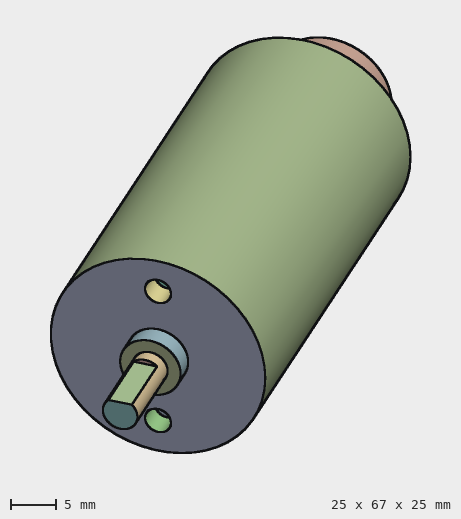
import cadquery as cq

total_length = 67.0
body_diameter = 25.0
body_length = 46.0
rear_boss_diameter = 14.0
rear_boss_length = 9.0
pilot_diameter = 7.05
pilot_length = 2.4
shaft_diameter = 4.0
flat_length = 8.0
flat_height = 1.5
hole_diameter = 3.0
hole_spacing = 17.0
hole_depth = 3.0

shaft_length = total_length - rear_boss_length - body_length - pilot_length
pilot_front = -pilot_length
shaft_tip = pilot_front - shaft_length


def cylinder(diameter, start_y, length):
    """Cylinder along +Y, centred on the motor axis."""
    plane = cq.Workplane("XZ", origin=(0, start_y, 0))
    return plane.circle(diameter / 2).extrude(-length)


body = cylinder(body_diameter, 0, body_length)
rear_boss = cylinder(rear_boss_diameter, body_length, rear_boss_length)
pilot = cylinder(pilot_diameter, pilot_front, pilot_length)

shaft = cylinder(shaft_diameter, shaft_tip, shaft_length)
flat_cut = cq.Workplane("XY", origin=(0, shaft_tip, flat_height)).box(
    shaft_diameter, flat_length, shaft_diameter, centered=(True, False, False)
)
shaft = shaft.cut(flat_cut)

result = body.union(rear_boss).union(pilot).union(shaft)

for side in (-1, 1):
    hole = cylinder(hole_diameter, 0, hole_depth)
    result = result.cut(hole.translate((0, 0, side * hole_spacing / 2)))